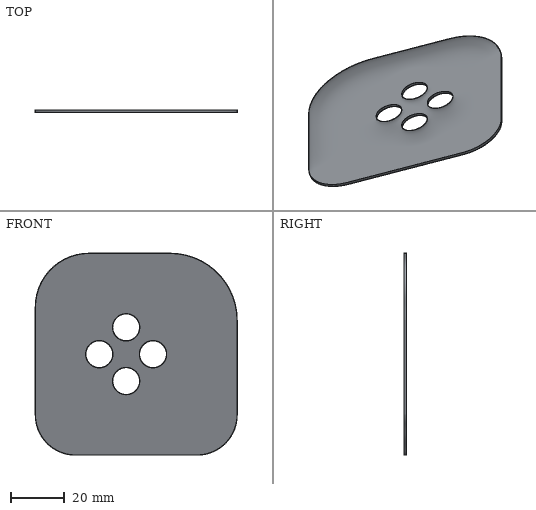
import cadquery as cq

side = 75.0
thickness = 1.0
half = side / 2

top_left_radius = 20.0
top_right_radius = 25.0
bottom_radius = 15.0

hole_diameter = 10.0
hole_offset = 10.0
pattern_x = -3.75
pattern_z = 0.0


def round_corner(plate, x_side, z_side, radius):
    """Round the plate edge that runs through the thickness at one corner."""
    corner = cq.selectors.NearestToPointSelector((x_side * half, 0, z_side * half))
    return plate.edges("|Y").edges(corner).fillet(radius)


plate = cq.Workplane("XY").box(side, thickness, side)
plate = round_corner(plate, -1, 1, top_left_radius)
plate = round_corner(plate, 1, 1, top_right_radius)
plate = round_corner(plate, -1, -1, bottom_radius)
plate = round_corner(plate, 1, -1, bottom_radius)

holes = (
    cq.Workplane("XZ", origin=(pattern_x, 0, pattern_z))
    .polarArray(hole_offset, 0, 360, 4)
    .circle(hole_diameter / 2)
    .extrude(thickness, both=True)
)

result = plate.cut(holes)